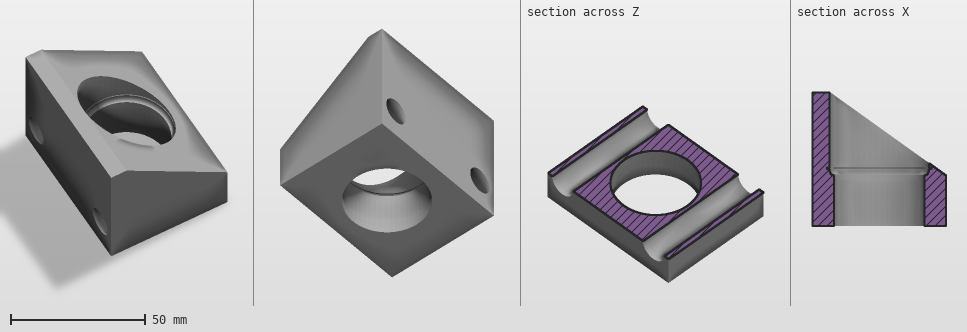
import cadquery as cq

width = 64.0
depth = 50.0
height = 50.0
top_land = 6.65
back_height = 18.95

bore_diameter = 36.75
throat_diameter = 33.6
seat_height = 19.1
seat_radius = (bore_diameter - throat_diameter) / 2

groove_bottom = 21.4
groove_width = 0.5
groove_depth = 1.0

hole_diameter = 11.0
hole_spacing = 48.0
hole_height = 12.5


def wedge_block():
    profile = [(0, 0), (depth, 0), (depth, back_height), (top_land, height), (0, height)]
    return cq.Workplane("YZ").polyline(profile).close().extrude(width)


def stepped_bore():
    """Wide bore narrowing through a concave round to the throat."""
    bore_radius = bore_diameter / 2
    throat_radius = throat_diameter / 2
    profile = (
        cq.Workplane("XZ")
        .lineTo(throat_radius, 0)
        .lineTo(throat_radius, seat_height)
        .radiusArc((bore_radius, seat_height + seat_radius), -seat_radius)
        .lineTo(bore_radius, height)
        .lineTo(0, height)
        .close()
    )
    cutter = profile.revolve(360, (0, 0, 0), (0, 1, 0))
    return cutter.translate((width / 2, depth / 2, 0))


def ring_groove():
    groove = cq.Workplane("XY").circle(bore_diameter / 2 + groove_depth).extrude(groove_width)
    return groove.translate((width / 2, depth / 2, groove_bottom))


def mounting_holes():
    holes = cq.Workplane("XY")
    for side in (-1, 1):
        hole_x = width / 2 + side * hole_spacing / 2
        hole = cq.Workplane("XZ").center(hole_x, hole_height).circle(hole_diameter / 2).extrude(-depth)
        holes = holes.add(hole)
    return holes.combine()


result = wedge_block().cut(stepped_bore()).cut(ring_groove()).cut(mounting_holes())